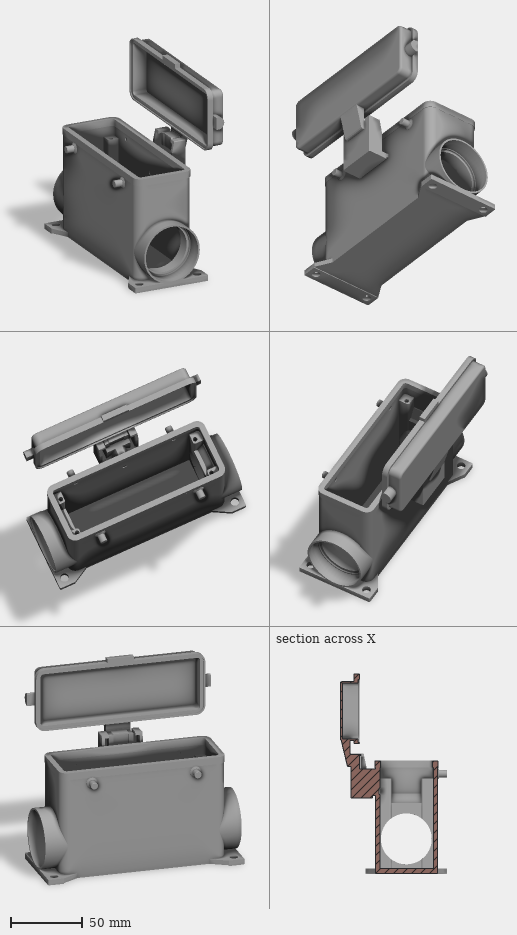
import cadquery as cq


length = 144.0
foot_width = 57.3
cover_back_y = 46.7
overall_height = 140.7

body_length = 121.2
body_width = 43.8
body_corner = 6.3
body_bottom = 0.6
body_top = 79.9
collar_length = 121.5
collar_width = 44.4
collar_corner = 6.0
collar_height = 5.2
wall = 4.0
cavity_length = collar_length - 2 * wall
cavity_width = 36.0
cavity_corner = 2.2
undercut = 0.6
floor_top = 4.2

entry_radius = 21.7
entry_z = 24.8
bore_radius = 20.5
bore_step_radius = 19.7
through_radius = 17.9
bore_depth = 11.8
bore_step_depth = 13.0

post_inner_x = 49.7
post_inner_y = 10.5
post_top = 67.2
post_edge_fillet = 1.5
screw_x = 52.0
screw_y = 13.5
screw_radius = 1.6
screw_depth = 14.4
sill_edge_x = 52.5
sill_top = 50.0
sill_ramp_top = 56.7

foot_height = 4.0
foot_outer_x = length / 2
foot_shoulder_x = 60.5
foot_inner_x = 48.4
foot_hole_x = 66.0
foot_hole_y = 22.6
foot_hole_radius = 3.0
foot_corner = 0.9

pin_x = 38.0
pin_z = 70.5
pin_radius = 2.6
pin_base_radius = 4.2
pin_base_end = collar_width / 2 + 0.9
pin_end = foot_width / 2
pin_chamfer = 0.3
pin_hole_radius = 1.6
rivet_hole_radius = 2.0
rivet_hole_z = 58.3
wall_hole_depth = 0.6

cover_z = 114.6
flange_length = 124.1
flange_height = 45.8
flange_corner = 6.6
flange_front_y = 33.0
flange_back_y = 37.2
shell_length = 119.5
shell_height = 41.8
shell_corner = 4.3
shell_edge_fillet = 1.7
rim_length = 121.8
rim_height = 44.0
rim_corner = 5.8
rim_depth = 1.0
pocket_length = 117.0
pocket_height = 38.9
pocket_corner = 2.2
pocket_end_y = 44.6
tab_width = 19.6
stud_end_x = 67.4
stud_y = 38.6
stud_radius = 4.6
arm_width = 18.1
arm_front_y = 39.5
arm_root_back_y = 46.2
arm_root_z = 95.0
arm_tip_back_y = 41.8
arm_tip_z = 75.6
arm_tip_bevel = 0.7

bracket_width = 30.0
bracket_back_y = 39.0
bracket_front_y = 28.0
bracket_top_front_y = 30.0
bracket_bottom = 53.4
bracket_ramp_z = 74.9
bracket_top = 84.8
bracket_edge_fillet = 0.6
lip_front_y = 23.8
lip_top = 55.2
recess_width = 25.6
recess_back_y = 36.7
recess_top = 82.7
block_width = 17.9
block_front_y = 32.0
block_top = 84.2
block_top_width = 11.2
block_shoulder_z = 83.4
block_shoulder_width = 12.7
panel_depth = 0.7
gap_width = 0.7
ledge_front_y = 28.8

mount_top = 74.3
mount_top_width = 5.2
mount_edge_z = 58.0
mount_curve_start = (10.5, 60.5)
mount_curve_middle = (7.2, 62.4)
mount_curve_end = (5.3, 66.2)


def rounded_bar_z(size_x, size_y, corner, z_low, z_high):
    """Upright block with rounded vertical edges."""
    block = cq.Workplane("XY").workplane(offset=z_low).rect(size_x, size_y)
    return block.extrude(z_high - z_low).edges("|Z").fillet(corner)


def rounded_bar_y(size_x, size_z, corner, y_low, y_high):
    """Block on the cover axis with its edges along Y rounded."""
    block = cq.Workplane("XZ", origin=(0, y_low, cover_z)).rect(size_x, size_z)
    return block.extrude(y_low - y_high).edges("|Y").fillet(corner)


def box_between(x_low, x_high, y_low, y_high, z_low, z_high):
    """Plain box given by its limits."""
    size = (x_high - x_low, y_high - y_low, z_high - z_low)
    return cq.Workplane("XY").box(*size, centered=False).translate((x_low, y_low, z_low))


def cylinder_x(radius, x_low, x_high, y, z):
    """Round bar along X."""
    return cq.Workplane("YZ", origin=(x_low, y, z)).circle(radius).extrude(x_high - x_low)


def extrude_side_profile(points, width):
    """Outline in Y and Z, extruded to both sides of X = 0."""
    return cq.Workplane("YZ").polyline(points).close().extrude(width / 2, both=True)


def with_mirror_x(shape):
    """The shape together with its mirror image across X = 0."""
    return shape.union(shape.mirror("YZ"))


def make_foot():
    """Foot plate at the +X end, standing slightly proud of the housing bottom."""
    half = foot_width / 2
    body_half = body_width / 2
    outline = [
        (foot_inner_x, -body_half),
        (foot_shoulder_x, -half),
        (foot_outer_x, -half),
        (foot_outer_x, half),
        (foot_shoulder_x, half),
        (foot_inner_x, body_half),
    ]
    foot = cq.Workplane("XY").polyline(outline).close().extrude(foot_height)
    foot = foot.edges("|Z and >X").fillet(foot_corner)
    relief = box_between(0, body_length / 2, -half, half, 0, body_bottom)
    holes = (
        cq.Workplane("XY")
        .pushPoints([(foot_hole_x, -foot_hole_y), (foot_hole_x, foot_hole_y)])
        .circle(foot_hole_radius)
        .extrude(foot_height)
    )
    return foot.cut(relief).cut(holes)


def make_end_fittings():
    """Two screw posts and the ramped sill inside the +X end."""
    wall_x = cavity_length / 2 + 2 * undercut
    half = cavity_width / 2 + 2 * undercut
    posts = box_between(post_inner_x, wall_x, -half, half, floor_top, post_top)
    posts = posts.cut(box_between(post_inner_x, wall_x, -post_inner_y, post_inner_y, floor_top, post_top))
    inner_edges = cq.selectors.BoxSelector(
        (post_inner_x - wall / 2, -post_inner_y - wall / 2, floor_top),
        (post_inner_x + wall / 2, post_inner_y + wall / 2, post_top),
    )
    posts = posts.edges("|Z").edges(inner_edges).fillet(post_edge_fillet)
    sill_outline = [
        (post_inner_x, body_bottom),
        (post_inner_x, sill_top),
        (sill_edge_x, sill_top),
        (cavity_length / 2, sill_ramp_top),
        (body_length / 2, sill_ramp_top),
        (body_length / 2, body_bottom),
    ]
    sill = cq.Workplane("XZ").polyline(sill_outline).close().extrude(post_inner_y, both=True)
    screw_holes = (
        cq.Workplane("XY", origin=(0, 0, post_top - screw_depth))
        .pushPoints([(screw_x, -screw_y), (screw_x, screw_y)])
        .circle(screw_radius)
        .extrude(screw_depth)
    )
    return posts.union(sill).cut(screw_holes)


def make_housing():
    """Open-topped box with feet, cable entries and inner end fittings."""
    collar_bottom = body_top - collar_height
    shell = rounded_bar_z(body_length, body_width, body_corner, body_bottom, collar_bottom)
    shell = shell.union(rounded_bar_z(collar_length, collar_width, collar_corner, collar_bottom, body_top))
    shell = shell.union(with_mirror_x(make_foot()))
    shell = shell.union(cylinder_x(entry_radius, -length / 2, length / 2, 0, entry_z))
    shell = shell.cut(rounded_bar_z(cavity_length, cavity_width, cavity_corner, floor_top, body_top))
    lower_length = cavity_length + 2 * undercut
    lower_width = cavity_width + 2 * undercut
    shell = shell.cut(rounded_bar_z(lower_length, lower_width, cavity_corner, floor_top, collar_bottom))
    shell = shell.union(with_mirror_x(make_end_fittings()))
    end_x = length / 2
    shell = shell.cut(cylinder_x(through_radius, -end_x, end_x, 0, entry_z))
    for radius, depth in ((bore_radius, bore_depth), (bore_step_radius, bore_step_depth)):
        shell = shell.cut(with_mirror_x(cylinder_x(radius, end_x - depth, end_x, 0, entry_z)))
    return shell


def make_pins():
    """Four locking pins on conical bases, two on each long side."""
    root_y = (cavity_width + wall) / 2
    outline = [
        (0, root_y),
        (pin_base_radius, root_y),
        (pin_base_radius, collar_width / 2),
        (pin_radius + pin_chamfer, pin_base_end),
        (pin_radius, pin_base_end),
        (pin_radius, pin_end - pin_chamfer),
        (pin_radius - pin_chamfer, pin_end),
        (0, pin_end),
    ]
    pin = cq.Workplane("XY").polyline(outline).close().revolve(360, (0, 0, 0), (0, 1, 0))
    pin = pin.translate((pin_x, 0, pin_z))
    pair = with_mirror_x(pin)
    return pair.union(pair.mirror("XZ"))


def make_wall_holes():
    """Shallow round sinks on the inner long walls behind the pins and the hinge rivet."""
    bottom_y = cavity_width / 2 + undercut + wall_hole_depth
    pin_holes = (
        cq.Workplane("XZ", origin=(0, bottom_y, pin_z))
        .pushPoints([(-pin_x, 0), (pin_x, 0)])
        .circle(pin_hole_radius)
        .extrude(2 * bottom_y)
    )
    rivet_hole = cq.Workplane("XZ", origin=(0, bottom_y, rivet_hole_z)).circle(rivet_hole_radius)
    return pin_holes.union(rivet_hole.extrude(bottom_y))


def make_cover():
    """Dished cover with rim flange, top tab, side studs and hinge arm."""
    shell = rounded_bar_y(shell_length, shell_height, shell_corner, flange_front_y, cover_back_y)
    shell = shell.faces(">Y").edges().fillet(shell_edge_fillet)
    flange = rounded_bar_y(flange_length, flange_height, flange_corner, flange_front_y, flange_back_y)
    half_tab = tab_width / 2
    tab = box_between(-half_tab, half_tab, flange_front_y, flange_back_y, cover_z, overall_height)
    studs = cylinder_x(stud_radius, -stud_end_x, stud_end_x, stud_y, cover_z)
    stud_low = cover_z - stud_radius
    stud_high = cover_z + stud_radius
    stud_front = stud_y - stud_radius
    stud_flat = box_between(-stud_end_x, stud_end_x, stud_front, flange_back_y, stud_low, stud_high)
    arm_outline = [
        (arm_front_y, arm_root_z),
        (arm_root_back_y, arm_root_z),
        (arm_tip_back_y, arm_tip_z + arm_tip_bevel),
        (arm_tip_back_y - arm_tip_bevel, arm_tip_z),
        (bracket_back_y, arm_tip_z),
        (bracket_back_y, bracket_top),
        (arm_front_y, bracket_top),
    ]
    arm = extrude_side_profile(arm_outline, arm_width)
    cover = shell.union(studs.cut(stud_flat)).union(flange).union(tab).union(arm)
    pocket = rounded_bar_y(pocket_length, pocket_height, pocket_corner, flange_front_y, pocket_end_y)
    rim_end_y = flange_front_y + rim_depth
    rim = rounded_bar_y(rim_length, rim_height, rim_corner, flange_front_y, rim_end_y)
    return cover.cut(pocket).cut(rim)


def make_bracket():
    """Hinge bracket: hollow box with a middle block, its sunk front panel and a ledge below."""
    outline = [
        (bracket_back_y, bracket_bottom),
        (lip_front_y, bracket_bottom),
        (lip_front_y, lip_top),
        (bracket_front_y, lip_top),
        (bracket_front_y, bracket_ramp_z),
        (bracket_top_front_y, bracket_top),
        (bracket_back_y, bracket_top),
    ]
    bracket = extrude_side_profile(outline, bracket_width)
    bracket = bracket.faces(">Y or >Z").edges("not |X").fillet(bracket_edge_fillet)
    half = recess_width / 2
    bracket = bracket.cut(box_between(-half, half, bracket_front_y, recess_back_y, lip_top, recess_top))
    half_block = block_width / 2
    slot = half_block + gap_width
    bracket = bracket.cut(box_between(-slot, slot, bracket_front_y, bracket_back_y, recess_top, bracket_top))
    block_outline = [
        (-half_block, lip_top),
        (-half_block, block_shoulder_z),
        (-block_shoulder_width / 2, block_shoulder_z),
        (-block_top_width / 2, block_top),
        (block_top_width / 2, block_top),
        (block_shoulder_width / 2, block_shoulder_z),
        (half_block, block_shoulder_z),
        (half_block, lip_top),
    ]
    block = cq.Workplane("XZ", origin=(0, bracket_back_y, 0)).polyline(block_outline).close()
    block = block.extrude(bracket_back_y - block_front_y)
    half_panel = block_top_width / 2
    panel_back_y = block_front_y + panel_depth
    panel = box_between(-half_panel, half_panel, block_front_y, panel_back_y, mount_top, block_shoulder_z)
    block = block.cut(panel)
    ledge = box_between(-half_block, half_block, ledge_front_y, recess_back_y, lip_top, mount_top)
    return bracket.union(block).union(ledge)


def make_bracket_mount():
    """Flared web joining the bracket to the housing wall."""
    root_y = (cavity_width + wall) / 2
    half = bracket_width / 2
    mount = (
        cq.Workplane("XZ", origin=(0, ledge_front_y, 0))
        .moveTo(0, lip_top)
        .lineTo(half, lip_top)
        .lineTo(half, mount_edge_z)
        .lineTo(*mount_curve_start)
        .threePointArc(mount_curve_middle, mount_curve_end)
        .lineTo(mount_top_width / 2, mount_top)
        .lineTo(0, mount_top)
        .close()
        .extrude(ledge_front_y - root_y)
    )
    return with_mirror_x(mount)


result = (
    make_housing()
    .union(make_pins())
    .union(make_bracket())
    .union(make_bracket_mount())
    .union(make_cover())
    .cut(make_wall_holes())
)